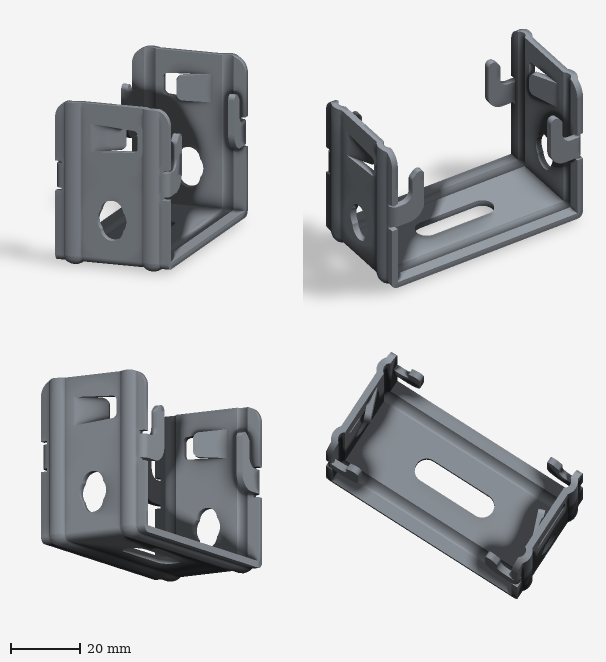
import cadquery as cq
import math

WIDTH = 35.0
LENGTH = 68.0
HEIGHT = 49.0
SHEET = 2.0

RIB_RISE = 1.0
RIB_INSET = 5.45
RIB_INNER_RADIUS = 2.05

WALL_CORNER_RADIUS = 4.8
HOLE_HEIGHT = 11.5
HOLE_DIAMETER = 9.0
HOLE_SLOT_LENGTH = 12.0
HOLE_SLOT_WIDTH = 7.0
FLOOR_SLOT_LENGTH = 26.1
FLOOR_SLOT_WIDTH = 7.0

HOOK_BOTTOM = 19.9
HOOK_ARM_HEIGHT = 7.1
HOOK_GAP = 0.95
HOOK_REACH = 9.1
HOOK_FINGER_WIDTH = 4.1
HOOK_HEIGHT = 16.85
HOOK_OUTER_RADIUS = 4.95
HOOK_INNER_RADIUS = 3.0
HOOK_TIP_RADIUS = 1.5

TAB_HEIGHT_POSITION = 35.75
TAB_HINGE_INSET = 10.7
TAB_ANGLE = 21.0
TAB_LENGTH = 10.0
TAB_ROOT_HEIGHT = 8.5
TAB_TAPER_ANGLE = 4.0
TAB_CORNER_RADIUS = 2.0
WINDOW_LENGTH = 14.8
WINDOW_CORNER_RADIUS = 1.5

HALF_WIDTH = WIDTH / 2
RIB_OUTER_RADIUS = RIB_INNER_RADIUS + SHEET
INNER_Y = LENGTH / 2 - SHEET - RIB_RISE
WALL_TOP = HEIGHT - SHEET - RIB_RISE
HINGE_X = -HALF_WIDTH + TAB_HINGE_INSET
CUT_DEPTH = 2 * (SHEET + RIB_RISE)


def ribbed_line(sketch, level, rib_radius, direction):
    """Draw one face of the sheet section, straight with a bulge at each rib."""
    half_chord = math.sqrt(rib_radius**2 - (RIB_INNER_RADIUS - RIB_RISE - level)**2)
    for side in (-1, 1):
        centre = direction * side * (HALF_WIDTH - RIB_INSET)
        start = centre - direction * half_chord
        end = centre + direction * half_chord
        sketch = sketch.lineTo(start, level)
        sketch = sketch.threePointArc((centre, level - RIB_RISE), (end, level))
    return sketch.lineTo(direction * HALF_WIDTH, level)


def sheet_section(plane):
    """Sheet cross-section: inner face on the local X axis, ribs toward local -Y."""
    sketch = cq.Workplane(plane).moveTo(-HALF_WIDTH, 0)
    sketch = ribbed_line(sketch, 0, RIB_INNER_RADIUS, 1)
    sketch = sketch.lineTo(HALF_WIDTH, -SHEET)
    return ribbed_line(sketch, -SHEET, RIB_OUTER_RADIUS, -1).close()


def make_floor():
    """Ribbed base with a slot lengthwise along Y."""
    floor = sheet_section(cq.Plane((0, INNER_Y, 0), (1, 0, 0), (0, -1, 0))).extrude(2 * INNER_Y)
    slot = (
        cq.Workplane("XY")
        .slot2D(FLOOR_SLOT_LENGTH, FLOOR_SLOT_WIDTH, 90)
        .extrude(CUT_DEPTH, both=True)
    )
    return floor.cut(slot)


def make_bend():
    """Quarter turn about the inner corner line, carrying the ribs from floor to wall."""
    section = sheet_section(cq.Plane((0, -INNER_Y, 0), (1, 0, 0), (0, -1, 0)))
    return section.revolve(90, (0, 0), (-1, 0))


def wall_plane(height=0.0):
    """Plane on the wall's inner face, with local X along X, local Y up and normal outward."""
    return cq.Plane((0, -INNER_Y, height), (1, 0, 0), (0, -1, 0))


def make_hole():
    """Round hole overlaid on an upright slot with the same centre."""
    hole = cq.Workplane(wall_plane(HOLE_HEIGHT)).circle(HOLE_DIAMETER / 2).extrude(CUT_DEPTH)
    slot = (
        cq.Workplane(wall_plane(HOLE_HEIGHT))
        .slot2D(HOLE_SLOT_LENGTH, HOLE_SLOT_WIDTH, 90)
        .extrude(CUT_DEPTH)
    )
    return hole.union(slot)


def tapered_blade(length, corner_radius):
    """Plate tapering away from the hinge line, with both tip corners rounded."""
    root = TAB_ROOT_HEIGHT / 2
    tip = root - length * math.tan(math.radians(TAB_TAPER_ANGLE))
    plane = cq.Plane((HINGE_X, -INNER_Y, TAB_HEIGHT_POSITION), (1, 0, 0), (0, -1, 0))
    return (
        cq.Workplane(plane)
        .polyline([(0, -root), (length, -tip), (length, tip), (0, root)])
        .close()
        .extrude(SHEET)
        .edges("|Y and >X")
        .fillet(corner_radius)
    )


def make_tab():
    """Blade swung inward about the hinge, with a rounded bend at its root."""
    hinge_base = (HINGE_X, -INNER_Y, TAB_HEIGHT_POSITION - TAB_ROOT_HEIGHT / 2)
    hinge_top = (HINGE_X, -INNER_Y, TAB_HEIGHT_POSITION + TAB_ROOT_HEIGHT / 2)
    blade = tapered_blade(TAB_LENGTH, TAB_CORNER_RADIUS).rotate(hinge_base, hinge_top, TAB_ANGLE)
    bend = (
        cq.Workplane("YZ", origin=hinge_base)
        .rect(-SHEET, TAB_ROOT_HEIGHT, centered=False)
        .revolve(TAB_ANGLE, (0, 0), (0, 1))
    )
    return blade.union(bend)


def make_hook():
    """Hook on the left wall edge: a quarter-round bend and a J-shaped plate."""
    finger_edge = HOOK_REACH - HOOK_FINGER_WIDTH
    tip_centre = HOOK_REACH - HOOK_TIP_RADIUS
    tip_base = HOOK_HEIGHT - HOOK_TIP_RADIUS
    flank_offset = HOOK_TIP_RADIUS * math.sin(math.radians(45))
    flank_top = (tip_centre - flank_offset, tip_base + flank_offset)
    flank_foot_y = finger_edge + HOOK_TIP_RADIUS - flank_offset
    flank_foot = (flank_foot_y, flank_top[1] - (flank_top[0] - flank_foot_y))
    plate = (
        cq.Workplane("YZ", origin=(-HALF_WIDTH, -INNER_Y, HOOK_BOTTOM))
        .lineTo(HOOK_REACH - HOOK_OUTER_RADIUS, 0)
        .radiusArc((HOOK_REACH, HOOK_OUTER_RADIUS), -HOOK_OUTER_RADIUS)
        .lineTo(HOOK_REACH, tip_base)
        .threePointArc((tip_centre, HOOK_HEIGHT), flank_top)
        .lineTo(*flank_foot)
        .radiusArc((finger_edge, flank_foot[1] - flank_offset), -HOOK_TIP_RADIUS)
        .lineTo(finger_edge, HOOK_ARM_HEIGHT + HOOK_INNER_RADIUS)
        .radiusArc((finger_edge - HOOK_INNER_RADIUS, HOOK_ARM_HEIGHT), HOOK_INNER_RADIUS)
        .lineTo(0, HOOK_ARM_HEIGHT)
        .close()
        .extrude(SHEET)
    )
    bend = (
        cq.Workplane("XY", origin=(-HALF_WIDTH + SHEET, -INNER_Y, HOOK_BOTTOM))
        .moveTo(0, 0)
        .lineTo(0, -SHEET)
        .radiusArc((-SHEET, 0), SHEET)
        .close()
        .extrude(HOOK_ARM_HEIGHT)
    )
    return plate.union(bend)


def make_wall():
    """Front wall with rounded top corners, openings, tab and a hook on each edge."""
    wall = sheet_section("XY").extrude(WALL_TOP).translate((0, -INNER_Y, 0))
    outline = (
        cq.Workplane(wall_plane())
        .rect(WIDTH, 2 * WALL_TOP)
        .extrude(CUT_DEPTH)
        .edges("|Y and >Z")
        .fillet(WALL_CORNER_RADIUS)
    )
    wall = wall.intersect(outline)
    wall = wall.cut(make_hole()).cut(tapered_blade(WINDOW_LENGTH, WINDOW_CORNER_RADIUS))
    wall = wall.union(make_tab())

    hook = make_hook()
    notch_height = HOOK_ARM_HEIGHT + 2 * HOOK_GAP
    notch = (
        cq.Workplane("XY", origin=(-HALF_WIDTH, -INNER_Y, HOOK_BOTTOM - HOOK_GAP))
        .box(SHEET, CUT_DEPTH, notch_height, centered=(False, True, False))
    )
    wall = wall.cut(notch).cut(notch.mirror("YZ"))
    wall = wall.union(hook).union(hook.mirror("YZ"))
    return wall


side = make_wall().union(make_bend())
opposite_side = side.rotate((0, 0, 0), (0, 0, 1), 180)
result = make_floor().union(side).union(opposite_side)